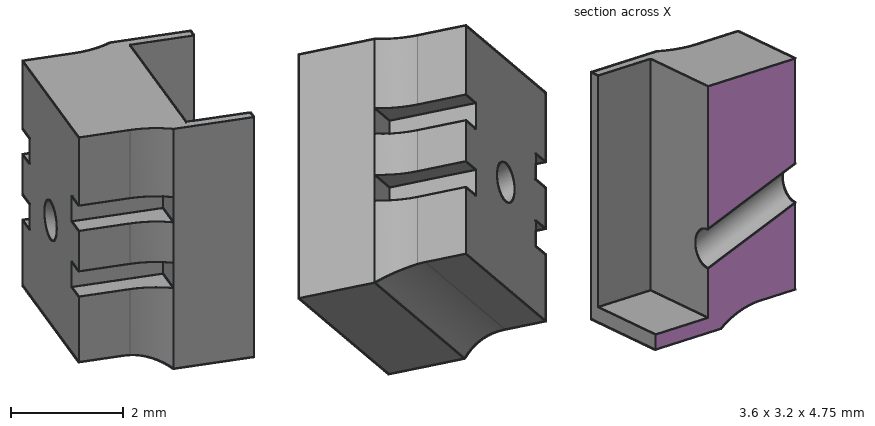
import cadquery as cq
import math

width = 3.6
depth = 3.2
height = 4.75

side_wall = 0.2
bottom_wall = 0.3
skirt_length = 1.5
flare_radius = 1.5

recess_depth = 1.2

notch_height = 0.5
notch_depth = 0.6
notch_centers_z = (1.85, 3.15)

hole_diameter = 0.7
hole_center_z = 2.35
hole_tilt = 20.0

half_width = width / 2
body_half_width = half_width - side_wall
front_y = -depth / 2
back_y = depth / 2
flare_y = back_y - skirt_length
recess_y = back_y - recess_depth


def flare_end_y(rise):
    """Y where a flare of the given rise runs tangent into the block."""
    return flare_y - math.sqrt(flare_radius**2 - (flare_radius - rise) ** 2)


def flare_mid(rise):
    """Middle of the flare arc: its Y and its height above the block face."""
    half_angle = math.acos(1 - rise / flare_radius) / 2
    mid_y = flare_end_y(rise) + flare_radius * math.sin(half_angle)
    mid_height = flare_radius * (1 - math.cos(half_angle))
    return mid_y, mid_height


def make_plan_prism():
    """Block with flared sides, extruded along Z."""
    end_y = flare_end_y(side_wall)
    mid_y, mid_height = flare_mid(side_wall)
    mid_x = body_half_width + mid_height
    return (
        cq.Workplane("XY")
        .moveTo(-body_half_width, front_y)
        .lineTo(body_half_width, front_y)
        .lineTo(body_half_width, end_y)
        .threePointArc((mid_x, mid_y), (half_width, flare_y))
        .lineTo(half_width, back_y)
        .lineTo(-half_width, back_y)
        .lineTo(-half_width, flare_y)
        .threePointArc((-mid_x, mid_y), (-body_half_width, end_y))
        .close()
        .extrude(height)
    )


def make_side_prism():
    """Block with a flared bottom, extruded along X."""
    mid_y, mid_height = flare_mid(bottom_wall)
    return (
        cq.Workplane("YZ")
        .moveTo(front_y, height)
        .lineTo(front_y, bottom_wall)
        .lineTo(flare_end_y(bottom_wall), bottom_wall)
        .threePointArc((mid_y, bottom_wall - mid_height), (flare_y, 0))
        .lineTo(back_y, 0)
        .lineTo(back_y, height)
        .close()
        .extrude(half_width, both=True)
    )


def make_recess():
    """Rear recess, open at the back and the top."""
    return cq.Workplane("XY").box(
        2 * body_half_width, recess_depth, height - bottom_wall, centered=(True, False, False)
    ).translate((0, recess_y, bottom_wall))


def make_notch(side, center_z):
    """Notch through the flare; side is -1 for the left and 1 for the right."""
    center_x = side * (half_width - notch_depth / 2)
    return cq.Workplane("XY").box(
        notch_depth, flare_y - front_y, notch_height, centered=(True, False, True)
    ).translate((center_x, front_y, center_z))


def make_hole():
    """Round hole sloping down from the front face into the recess."""
    tilt = math.radians(hole_tilt)
    direction = cq.Vector(0, math.cos(tilt), -math.sin(tilt))
    entry = cq.Vector(0, front_y, hole_center_z)
    start = entry - direction * hole_diameter
    length = depth + hole_diameter
    return cq.Workplane(cq.Solid.makeCylinder(hole_diameter / 2, length, start, direction))


result = make_plan_prism().intersect(make_side_prism())
result = result.cut(make_recess())
for notch_z in notch_centers_z:
    for notch_side in (-1, 1):
        result = result.cut(make_notch(notch_side, notch_z))
result = result.cut(make_hole())